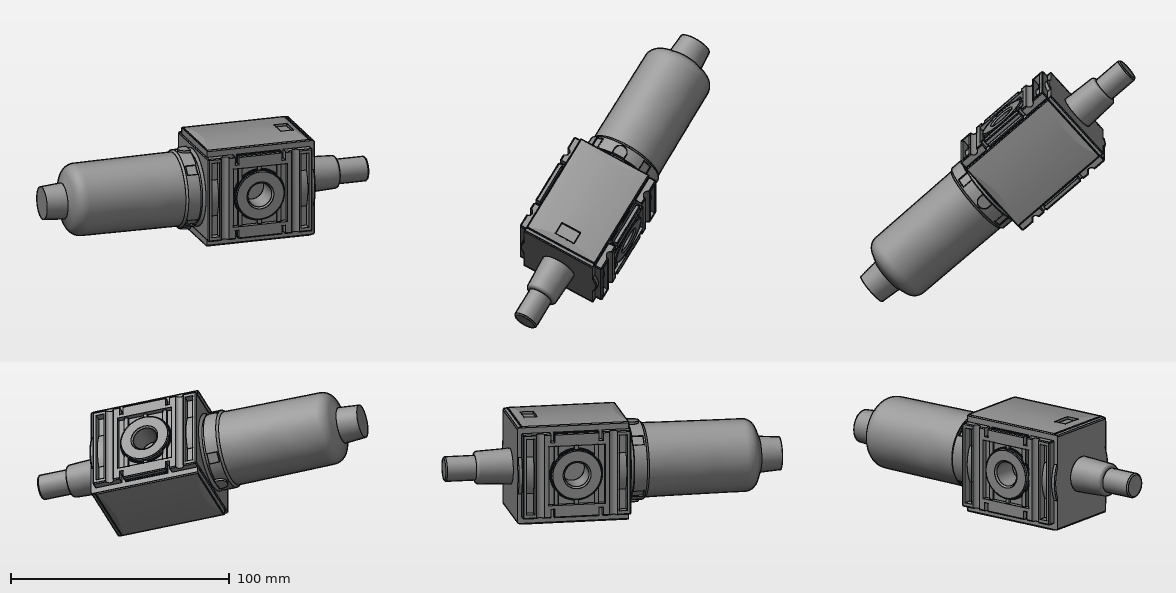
import cadquery as cq
import math

EPS = 0.2

back_y = 27.1
block_length = 50.2
front_y = -block_length / 2
core_width = 36.0
core_half = core_width / 2
barrel_dia = 40.0
block_width = 43.0
block_height = 39.6
face_x = block_width / 2
edge_chamfer = 0.5
core_front_y = front_y + edge_chamfer

housing_height = 48.2
cover_top_z = housing_height / 2
cover_bow = 1.1
cover_edge_z = cover_top_z - cover_bow
back_ramp_start_y = 21.5
back_ramp_slope = 0.3
front_ramp_start_y = -21.2
front_ramp_slope = 0.25
cover_front_chamfer = 0.3
seam_y = 25.1
seam_width = 0.5
seam_depth = 0.2

label_width = 9.8
label_length = 6.1
label_depth = 1.2

groove_y = 17.0
groove_radius = 1.9
window_y = 21.5
window_length = 3.7
window_height = 35.7
slot_y = 11.2
slot_width = 1.9
slot_floor_z = 15.8
gap_outer_x = 19.5
gap_inner_x = 18.5
pocket_length = 26.2
pocket_height = 28.0
pocket_depth = 2.3
rib_height = 1.1
rib_y = 9.4
rib_width = 1.9

boss_dia = 23.5
boss_chamfer = 0.5
boss_base_dia = 24.5
boss_base_height = 0.6
port_dia = 11.4
port_chamfer = 0.8
port_depth = 12.5

neck_dia = 33.2
neck_flare_width = 1.5
neck_flare_length = 1.1
collar_dia = 36.0
collar_y = -27.5
collar_cone_y = -33.4
bowl_top_y = -34.5
bowl_top_dia = 34.2
bowl_dia = 33.4
dome_start_y = -81.0
dome_fillet = 6.0
dome_cone_angle = 22.0
stub_end_y = -98.1
stub_dia = 16.7
stub_end_dia = 15.1
button_dia = 6.2
button_y = -29.5
button_top_z = 18.9
notch_width = 4.8
notch_depth = 0.8
notch_end_y = -32.6

knob_end_y = 57.9
knob_step_y = 43.7
knob_dia = 16.5
knob_step_dia = 15.1
knob_tip_dia = 11.4
knob_step_fillet = 1.5
knob_tip_chamfer = 0.6


def box(x_range, y_range, z_range):
    """Box between the given limits."""
    size = [high - low for low, high in (x_range, y_range, z_range)]
    corner = (x_range[0], y_range[0], z_range[0])
    return cq.Workplane("XY").box(*size, centered=False).translate(corner)


def y_cylinder(dia, y_from, y_to):
    """Cylinder on the long axis."""
    return cq.Workplane("XZ", origin=(0, y_from, 0)).circle(dia / 2).extrude(y_from - y_to)


def revolve_about_y(outline):
    """Solid turned about the long axis from an outline drawn as (radius, y)."""
    return outline.close().revolve(360, (0, 0, 0), (0, 1, 0))


def both_sides(part):
    """The +X part together with its mirror image on -X."""
    return part.union(part.mirror("YZ"))


def make_core():
    """Bowed core whose upper and lower covers slope down towards both ends."""
    section = (
        cq.Workplane("XZ", origin=(0, back_y, 0))
        .moveTo(-core_half, -cover_edge_z)
        .threePointArc((0, -cover_top_z), (core_half, -cover_edge_z))
        .lineTo(core_half, cover_edge_z)
        .threePointArc((0, cover_top_z), (-core_half, cover_edge_z))
        .close()
        .extrude(back_y - core_front_y)
        .edges("|Y")
        .chamfer(edge_chamfer)
    )
    back_z = cover_top_z - back_ramp_slope * (back_y - back_ramp_start_y)
    front_z = cover_top_z - front_ramp_slope * (front_ramp_start_y - core_front_y)
    side_profile = [
        (core_front_y, front_z - cover_front_chamfer),
        (core_front_y + cover_front_chamfer, front_z + front_ramp_slope * cover_front_chamfer),
        (front_ramp_start_y, cover_top_z),
        (back_ramp_start_y, cover_top_z),
        (back_y - edge_chamfer, back_z + back_ramp_slope * edge_chamfer),
        (back_y, back_z - edge_chamfer),
    ]
    lower_profile = [(y, -z) for y, z in reversed(side_profile)]
    envelope = (
        cq.Workplane("YZ")
        .polyline(side_profile + lower_profile)
        .close()
        .extrude(core_half + EPS, both=True)
    )
    return section.intersect(envelope)


def cut_seams(core):
    """Shallow seam across the back ramp of each cover."""
    seam_z = cover_top_z - back_ramp_slope * (seam_y - back_ramp_start_y) - seam_depth
    seam = box(
        (-core_half - EPS, core_half + EPS),
        (seam_y - seam_width / 2, seam_y + seam_width / 2),
        (seam_z, cover_top_z),
    )
    return core.cut(seam).cut(seam.mirror("XY"))


def make_label_recess():
    """Flat-floored recess that starts at the edge of the back ramp."""
    return box(
        (-label_width / 2, label_width / 2),
        (back_ramp_start_y - label_length, back_ramp_start_y),
        (cover_top_z - label_depth, cover_top_z + EPS),
    )


def make_side_grooves():
    """Round-bottomed grooves over the full height of the +X face."""
    return (
        cq.Workplane("XY", origin=(0, 0, -block_height / 2 - EPS))
        .pushPoints([(face_x, -groove_y), (face_x, groove_y)])
        .circle(groove_radius)
        .extrude(block_height + 2 * EPS)
    )


def make_side_windows():
    """Tall recesses at both ends of the +X face, down to the core."""
    depth = face_x - core_half
    return (
        cq.Workplane("YZ", origin=(core_half, 0, 0))
        .pushPoints([(-window_y, 0), (window_y, 0)])
        .rect(window_length, window_height)
        .extrude(depth + EPS)
    )


def make_edge_slots():
    """Four short slots through the +X plate and the wedge gaps behind it."""
    top_z = block_height / 2 + EPS
    slots = cq.Workplane("XY")
    for y in (-slot_y, slot_y):
        slots = slots.union(
            box(
                (core_half, face_x + EPS),
                (y - slot_width / 2, y + slot_width / 2),
                (slot_floor_z, top_z),
            )
        )
    gap = (
        cq.Workplane("XZ", origin=(0, slot_y, 0))
        .polyline([(gap_outer_x, slot_floor_z), (gap_outer_x, top_z), (gap_inner_x, top_z)])
        .close()
        .extrude(2 * slot_y)
    )
    upper = slots.union(gap)
    return upper.union(upper.mirror("XY"))


def make_port_pocket():
    """Recess around the +X port that leaves the stepped boss, two long ribs and a pair of keys."""
    floor_x = face_x - pocket_depth
    floor = cq.Workplane("YZ", origin=(floor_x, 0, 0))
    pocket = floor.rect(pocket_length, pocket_height).extrude(pocket_depth + EPS)
    ribs = (
        floor.pushPoints([(-rib_y, 0), (0, 0), (rib_y, 0)])
        .rect(rib_width, pocket_height)
        .extrude(rib_height)
    )
    boss = (
        floor.circle(boss_dia / 2)
        .extrude(pocket_depth)
        .faces(">X")
        .chamfer(boss_chamfer)
    )
    boss_base = floor.circle(boss_base_dia / 2).extrude(boss_base_height)
    return pocket.cut(ribs).cut(boss).cut(boss_base)


def make_port():
    """Blind port in the +X side with a chamfered mouth."""
    radius = port_dia / 2
    outline = (
        cq.Workplane("XY")
        .moveTo(face_x - port_depth, 0)
        .lineTo(face_x - port_depth, radius)
        .lineTo(face_x - port_chamfer, radius)
        .lineTo(face_x, radius + port_chamfer)
        .lineTo(face_x, 0)
        .close()
    )
    return outline.revolve(360, (0, 0, 0), (1, 0, 0))


def make_neck():
    """Neck below the housing, flared where it meets the end face."""
    radius = neck_dia / 2
    outline = (
        cq.Workplane("XY")
        .moveTo(0, front_y)
        .lineTo(radius + neck_flare_width, front_y)
        .lineTo(radius, front_y - neck_flare_length)
        .lineTo(radius, collar_y)
        .lineTo(0, collar_y)
    )
    return revolve_about_y(outline)


def make_housing():
    """Block, covers, inner barrel and neck as one solid, with both side faces alike."""
    block = (
        cq.Workplane("XY")
        .box(block_width, block_length, block_height)
        .edges()
        .chamfer(edge_chamfer)
    )
    block = block.cut(both_sides(make_side_windows()))
    barrel = y_cylinder(barrel_dia, back_y, core_front_y).faces(">Y").chamfer(edge_chamfer)
    core = cut_seams(make_core())
    housing = block.union(core).union(barrel).union(make_neck())
    for side_cut in (make_side_grooves(), make_edge_slots(), make_port_pocket(), make_port()):
        housing = housing.cut(both_sides(side_cut))
    return housing.cut(make_label_recess())


def make_bowl_body():
    """Turned bowl: collar, tapered wall, domed end and stub."""
    angle = math.radians(dome_cone_angle)
    wall = bowl_dia / 2
    centre_r = wall - dome_fillet
    cone_r = centre_r + dome_fillet * math.sin(angle)
    cone_y = dome_start_y - dome_fillet * math.cos(angle)
    arc_mid = (math.pi / 2 - angle) / 2
    stub_r = stub_dia / 2
    stub_y = cone_y - (cone_r - stub_r) * math.tan(angle)
    outline = (
        cq.Workplane("XY")
        .moveTo(0, collar_y)
        .lineTo(collar_dia / 2, collar_y)
        .lineTo(collar_dia / 2, collar_cone_y)
        .lineTo(bowl_top_dia / 2, bowl_top_y)
        .lineTo(wall, dome_start_y)
        .threePointArc(
            (centre_r + dome_fillet * math.cos(arc_mid), dome_start_y - dome_fillet * math.sin(arc_mid)),
            (cone_r, cone_y),
        )
        .lineTo(stub_r, stub_y)
        .lineTo(stub_end_dia / 2, stub_end_y)
        .lineTo(0, stub_end_y)
    )
    return revolve_about_y(outline)


def make_buttons():
    """Upper and lower round-ended buttons that run up to the back face of the collar."""
    radius = button_dia / 2
    button = (
        cq.Workplane("XY")
        .moveTo(-radius, collar_y)
        .lineTo(-radius, button_y)
        .threePointArc((0, button_y - radius), (radius, button_y))
        .lineTo(radius, collar_y)
        .close()
        .extrude(button_top_z)
    )
    return button.union(button.mirror("XY"))


def make_collar_notches():
    """Four flat notches on the diagonals of the collar."""
    floor_r = collar_dia / 2 - notch_depth
    notch = box(
        (floor_r, collar_dia),
        (notch_end_y, collar_y + EPS),
        (-notch_width / 2, notch_width / 2),
    )
    notches = cq.Workplane("XY")
    for quadrant in range(4):
        notches = notches.union(notch.rotate((0, 0, 0), (0, 1, 0), 45 + 90 * quadrant))
    return notches


def make_bowl():
    """Bowl with its buttons and collar notches."""
    return make_bowl_body().union(make_buttons()).cut(make_collar_notches())


def make_knob():
    """Turned adjusting knob with a narrower tip."""
    step_r = knob_step_dia / 2
    tip_r = knob_tip_dia / 2
    outline = (
        cq.Workplane("XY")
        .moveTo(0, back_y)
        .lineTo(knob_dia / 2, back_y)
        .lineTo(step_r, knob_step_y - knob_step_fillet)
        .radiusArc((step_r - knob_step_fillet, knob_step_y), -knob_step_fillet)
        .lineTo(tip_r, knob_step_y)
        .lineTo(tip_r, knob_end_y - knob_tip_chamfer)
        .lineTo(tip_r - knob_tip_chamfer, knob_end_y)
        .lineTo(0, knob_end_y)
    )
    return revolve_about_y(outline)


housing = make_housing()
bowl = make_bowl()
knob = make_knob()

result = cq.Compound.makeCompound([housing.solids().val(), bowl.solids().val(), knob.val()])